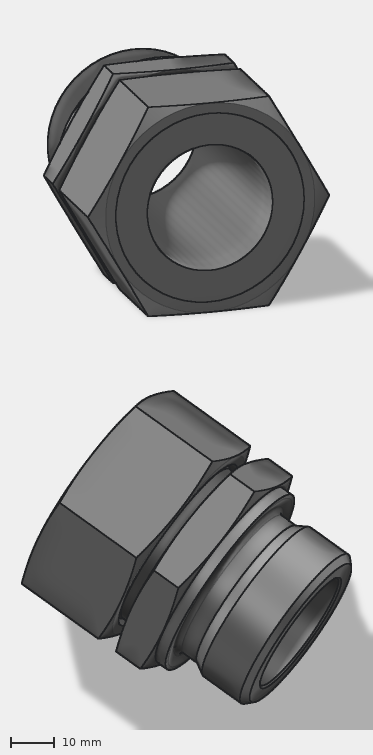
import cadquery as cq
import math


collar_start = 20.2
hex_start = 23.0
hex_end = 32.05
nut_start = 35.0
total_length = 59.0

bore_diameter = 30.0
bore_chamfer = 0.5
stud_diameter = 41.9
stud_chamfer = 1.6
stud_length = 12.45

runout_angle = 30.0

undercut_diameter = 38.65
undercut_fillet = 1.25
collar_diameter = 49.0
sealing_edge_diameter = 47.0
sealing_face_angle = 10.0

across_flats = 50.0
hex_chamfer_angle = 15.0
hex_sides = 6

neck_diameter = 41.9
neck_end = 35.5
nut_thread_diameter = 45.0

bore_radius = bore_diameter / 2
stud_radius = stud_diameter / 2
undercut_radius = undercut_diameter / 2
collar_radius = collar_diameter / 2
sealing_edge_radius = sealing_edge_diameter / 2
neck_radius = neck_diameter / 2
nut_thread_radius = nut_thread_diameter / 2
flat_radius = across_flats / 2
corner_radius = flat_radius / math.cos(math.pi / hex_sides)
runout_slope = math.tan(math.radians(runout_angle))
undercut_start = stud_length + (stud_radius - undercut_radius) / runout_slope
nut_thread_start = neck_end + (nut_thread_radius - neck_radius) / runout_slope
sealing_face_depth = (sealing_edge_radius - undercut_radius) * math.tan(math.radians(sealing_face_angle))
undercut_end = collar_start + sealing_face_depth


def revolve_about_x(points):
    """Turn a closed outline of (x, radius) points around the X axis."""
    return cq.Workplane("XY").polyline(points).close().revolve(360, (0, 0, 0), (1, 0, 0))


def chamfered_hexagon(start, end):
    """Hexagonal prism with corners on +Y and -Y and both ends turned to a shallow cone."""
    prism = (
        cq.Workplane("YZ")
        .workplane(offset=start)
        .polygon(hex_sides, 2 * corner_radius)
        .extrude(end - start)
    )
    corner_clearance = 0.6
    cone_radius = corner_radius + corner_clearance
    cone_depth = (cone_radius - flat_radius) * math.tan(math.radians(hex_chamfer_angle))
    envelope = revolve_about_x([
        (start, 0),
        (start, flat_radius),
        (start + cone_depth, cone_radius),
        (end - cone_depth, cone_radius),
        (end, flat_radius),
        (end, 0),
    ])
    return prism.intersect(envelope)


def make_stud_end():
    """Threaded stud, undercut and collar as one solid turning."""
    turning = revolve_about_x([
        (0, 0),
        (0, stud_radius - stud_chamfer),
        (stud_chamfer, stud_radius),
        (stud_length, stud_radius),
        (undercut_start, undercut_radius),
        (undercut_end, undercut_radius),
        (collar_start, sealing_edge_radius),
        (collar_start, collar_radius),
        (hex_start, collar_radius),
        (hex_start, 0),
    ])
    margin = 0.05
    root_edge = cq.selectors.BoxSelector(
        (undercut_end - margin, -collar_radius, -collar_radius),
        (undercut_end + margin, collar_radius, collar_radius),
    )
    return turning.edges(root_edge).fillet(undercut_fillet)


def make_bore():
    """Through bore, chamfered at the stud end."""
    return revolve_about_x([
        (0, 0),
        (0, bore_radius + bore_chamfer),
        (bore_chamfer, bore_radius),
        (total_length, bore_radius),
        (total_length, 0),
    ])


def make_sleeve():
    """Neck, cone and nut thread from the body hexagon to the far end of the nut."""
    return revolve_about_x([
        (hex_end, 0),
        (hex_end, neck_radius),
        (neck_end, neck_radius),
        (nut_thread_start, nut_thread_radius),
        (total_length, nut_thread_radius),
        (total_length, 0),
    ])


def make_fitting_body():
    solid_body = make_stud_end().union(chamfered_hexagon(hex_start, hex_end)).union(make_sleeve())
    return solid_body.cut(make_bore())


def make_union_nut():
    """Hexagonal nut with a straight hole that fits the nut thread of the sleeve."""
    nut_hole = (
        cq.Workplane("YZ")
        .workplane(offset=nut_start)
        .circle(nut_thread_radius)
        .extrude(total_length - nut_start)
    )
    return chamfered_hexagon(nut_start, total_length).cut(nut_hole)


fitting_body = make_fitting_body()
union_nut = make_union_nut()

result = cq.Compound.makeCompound([fitting_body.solids().val(), union_nut.solids().val()])